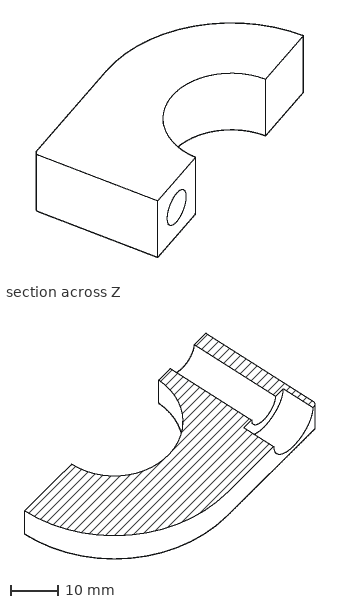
import cadquery as cq

length = 60.8
outer_radius = length / 2
thickness = 16.0
bore_radius = outer_radius - thickness
split_gap = 0.35
corner_radius = 1.0
screw_diameter = 8.0
head_diameter = 13.2
head_depth = 8.0
screw_y = -outer_radius + thickness / 2


def clamp_body():
    outline = (
        cq.Workplane("XY")
        .moveTo(0, outer_radius)
        .radiusArc((-outer_radius, 0), -outer_radius)
        .lineTo(-outer_radius, -outer_radius)
        .lineTo(-split_gap, -outer_radius)
        .lineTo(-split_gap, 0)
        .lineTo(0, 0)
        .close()
    )
    body = outline.extrude(thickness)
    body = body.edges("|Z and <X and <Y").fillet(corner_radius)
    bore = cq.Workplane("XY").circle(bore_radius).extrude(thickness)
    return body.cut(bore)


def screw_hole():
    face = cq.Workplane("YZ", origin=(-outer_radius, screw_y, thickness / 2))
    shank = face.circle(screw_diameter / 2).extrude(outer_radius)
    head = face.circle(head_diameter / 2).extrude(head_depth)
    return shank.union(head)


result = clamp_body().cut(screw_hole())